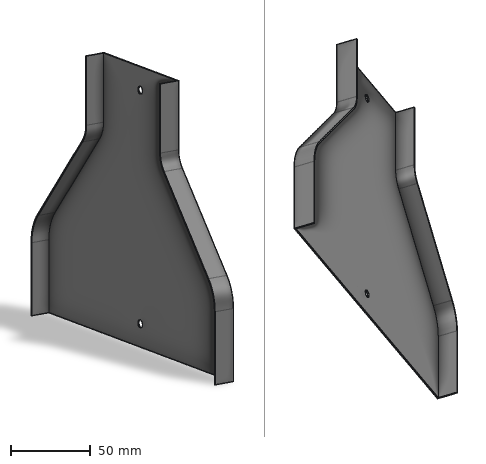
import cadquery as cq

base_width = 202.0
neck_width = 82.0
height = 182.0
depth = 14.0
thickness = 1.0
shoulder_z = 58.8
neck_z = 130.9
shoulder_radius = 31.1
neck_radius = 17.4
hole_diameter = 5.0
hole_edge_distance = 15.2

half_base = base_width / 2
half_neck = neck_width / 2


def make_outer_body():
    """Solid funnel-shaped block, back face on Y = 0, with its side corners rounded."""
    outline = [
        (-half_base, 0),
        (half_base, 0),
        (half_base, shoulder_z),
        (half_neck, neck_z),
        (half_neck, height),
        (-half_neck, height),
        (-half_neck, neck_z),
        (-half_base, shoulder_z),
    ]
    block = cq.Workplane("XZ").polyline(outline).close().extrude(depth)
    shoulder_corners = cq.selectors.BoxSelector(
        (-base_width, -base_width, shoulder_z - thickness),
        (base_width, base_width, shoulder_z + thickness),
    )
    neck_corners = cq.selectors.BoxSelector(
        (-base_width, -base_width, neck_z - thickness),
        (base_width, base_width, neck_z + thickness),
    )
    block = block.edges("|Y").edges(shoulder_corners).fillet(shoulder_radius)
    return block.edges("|Y").edges(neck_corners).fillet(neck_radius)


def hollow_to_tray(block):
    """Leave the back plate and side flanges; front, top and bottom are open."""
    return block.faces("<Y or <Z or >Z").shell(-thickness)


def cut_mounting_holes(tray):
    """Two through holes on the centre line, one near each open end."""
    hole_centres = [(0, hole_edge_distance), (0, height - hole_edge_distance)]
    drills = (
        cq.Workplane("XZ")
        .pushPoints(hole_centres)
        .circle(hole_diameter / 2)
        .extrude(depth)
    )
    return tray.cut(drills)


result = cut_mounting_holes(hollow_to_tray(make_outer_body()))